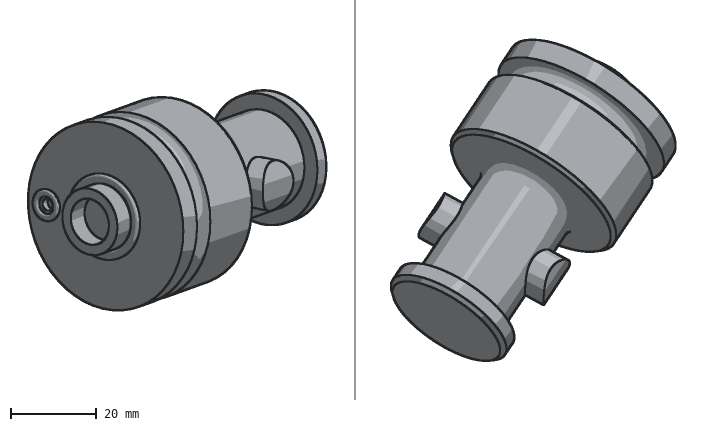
import cadquery as cq
import math

total_length = 72.5
body_diameter = 45.0
body_radius = body_diameter / 2
spigot_radius = 8.0
spigot_length = 6.15
bore_radius = 5.5
bore_depth = 5.4

flange_thickness = 5.4
groove_width = 5.2
groove_depth = 2.5
body_length = 27.85
body_chamfer = 0.95

neck_radius = 11.95
neck_fillet = 4.0
head_radius = 15.7
head_thickness = 4.65
head_chamfer = 1.1

trunnion_diameter = 11.95
trunnion_radius = trunnion_diameter / 2
trunnion_reach = 17.0
trunnion_setback = 21.7

large_ring_radius = 10.3
large_ring_height = 1.3
large_ring_fillet = 0.6
small_ring_radius = 3.85
small_ring_inner_radius = 2.1
small_ring_height = 1.0
port_offset = 16.8
port_radius = 1.45
port_depth = 2.0

spigot_end = -total_length / 2
flange_face = spigot_end + spigot_length
groove_start = flange_face + flange_thickness
groove_end = groove_start + groove_width
shoulder = flange_face + body_length
head_end = total_length / 2
head_start = head_end - head_thickness
trunnion_y = head_end - trunnion_setback


def turned_body():
    """Spigot, grooved body, filleted neck and head as one revolved profile."""
    arc_drop = neck_fillet * (1 - math.sqrt(0.5))
    profile = (
        cq.Workplane("XY")
        .moveTo(0, spigot_end)
        .lineTo(spigot_radius, spigot_end)
        .lineTo(spigot_radius, flange_face)
        .lineTo(body_radius, flange_face)
        .lineTo(body_radius, groove_start)
        .threePointArc(
            (body_radius - groove_depth, (groove_start + groove_end) / 2),
            (body_radius, groove_end),
        )
        .lineTo(body_radius, shoulder - body_chamfer)
        .lineTo(body_radius - body_chamfer, shoulder)
        .lineTo(neck_radius + neck_fillet, shoulder)
        .threePointArc(
            (neck_radius + arc_drop, shoulder + arc_drop),
            (neck_radius, shoulder + neck_fillet),
        )
        .lineTo(neck_radius, head_start)
        .lineTo(head_radius, head_start)
        .lineTo(head_radius, head_end - head_chamfer)
        .lineTo(head_radius - head_chamfer, head_end)
        .lineTo(0, head_end)
        .close()
    )
    return profile.revolve(360, (0, 0, 0), (0, 1, 0))


def large_ring():
    """Ring hugging the spigot, with its edges rounded."""
    ring = (
        cq.Workplane("XZ", origin=(0, flange_face, 0))
        .circle(large_ring_radius)
        .circle(spigot_radius)
        .extrude(large_ring_height)
        .edges()
        .fillet(large_ring_fillet)
    )
    collar = (
        cq.Workplane("XZ", origin=(0, flange_face, 0))
        .circle(spigot_radius + large_ring_fillet)
        .extrude(large_ring_height / 2)
    )
    return ring.union(collar)


def small_ring():
    """Ring around the port, with half-round inner and outer sides."""
    section_center = (small_ring_inner_radius + small_ring_radius) / 2
    return (
        cq.Workplane("XY", origin=(-port_offset, flange_face - small_ring_height / 2, 0))
        .center(section_center, 0)
        .slot2D(small_ring_radius - small_ring_inner_radius, small_ring_height)
        .revolve(360, (-section_center, 0, 0), (-section_center, 1, 0))
    )


def trunnion(side):
    """One pin pointing along +X or -X; its end is the neck surface moved outward."""
    pin = (
        cq.Workplane("YZ", origin=(0, trunnion_y, 0))
        .circle(trunnion_radius)
        .extrude(side * trunnion_reach)
    )
    end_shift = side * (trunnion_reach - neck_radius)
    end_surface = (
        cq.Workplane("XZ", origin=(end_shift, trunnion_y + trunnion_radius, 0))
        .circle(neck_radius)
        .extrude(2 * trunnion_radius)
    )
    return pin.intersect(end_surface)


def blind_hole(center_x, face_y, radius, depth):
    """Cutter for a round hole entering along +Y from face_y."""
    return cq.Workplane("XZ", origin=(center_x, face_y, 0)).circle(radius).extrude(-depth)


result = turned_body()
result = result.union(large_ring())
result = result.union(small_ring())
for side in (-1, 1):
    result = result.union(trunnion(side))
result = result.cut(blind_hole(0, spigot_end, bore_radius, bore_depth))
result = result.cut(blind_hole(-port_offset, flange_face, port_radius, port_depth))